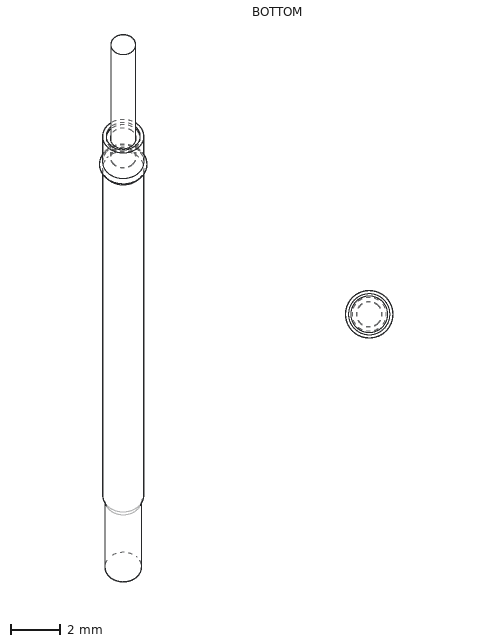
import cadquery as cq

TOTAL_LENGTH = 37.05
TAIL_LENGTH = 4.65
TAPER_HEIGHT = 0.35
BARREL_TOP = 29.97
PIN_TIP_HEIGHT = 0.7

TAIL_DIAMETER = 1.5
BARREL_DIAMETER = 1.65
COLLAR_DIAMETER = 1.93
PIN_DIAMETER = 1.0
BORE_DIAMETER = 1.05

COLLAR_BOTTOM = 27.75
COLLAR_UNDERSIDE_HEIGHT = 0.25
COLLAR_SHOULDER_HEIGHT = 0.2

BORE_DEPTH = 1.5

MOUTH_DIAMETER = 1.37
MOUTH_DEPTH = 0.15


def make_barrel():
    """Tail, taper, barrel and collar turned as one profile, with a stepped blind bore in the top."""
    tail_radius = TAIL_DIAMETER / 2
    barrel_radius = BARREL_DIAMETER / 2
    collar_radius = COLLAR_DIAMETER / 2
    bore_radius = BORE_DIAMETER / 2
    mouth_radius = MOUTH_DIAMETER / 2
    mouth_floor = BARREL_TOP - MOUTH_DEPTH
    bore_floor = BARREL_TOP - BORE_DEPTH
    collar_rim = COLLAR_BOTTOM + COLLAR_UNDERSIDE_HEIGHT
    collar_top = collar_rim + COLLAR_SHOULDER_HEIGHT
    return (
        cq.Workplane("XZ")
        .moveTo(0, 0)
        .lineTo(tail_radius, 0)
        .lineTo(tail_radius, TAIL_LENGTH)
        .lineTo(barrel_radius, TAIL_LENGTH + TAPER_HEIGHT)
        .lineTo(barrel_radius, COLLAR_BOTTOM)
        .lineTo(collar_radius, collar_rim)
        .radiusArc((barrel_radius, collar_top), -COLLAR_SHOULDER_HEIGHT)
        .lineTo(barrel_radius, BARREL_TOP)
        .lineTo(mouth_radius, BARREL_TOP)
        .lineTo(mouth_radius, mouth_floor)
        .lineTo(bore_radius, mouth_floor)
        .lineTo(bore_radius, bore_floor)
        .lineTo(0, bore_floor)
        .close()
        .revolve(360, (0, 0, 0), (0, 1, 0))
    )


def make_pin():
    """Straight contact pin with a conical tip."""
    pin_bottom = BARREL_TOP - BORE_DEPTH
    pin_radius = PIN_DIAMETER / 2
    return (
        cq.Workplane("XZ")
        .moveTo(0, pin_bottom)
        .lineTo(pin_radius, pin_bottom)
        .lineTo(pin_radius, TOTAL_LENGTH - PIN_TIP_HEIGHT)
        .lineTo(0, TOTAL_LENGTH)
        .close()
        .revolve(360, (0, 0, 0), (0, 1, 0))
    )


barrel = make_barrel()
pin = make_pin()
result = cq.Compound.makeCompound([barrel.val(), pin.val()])